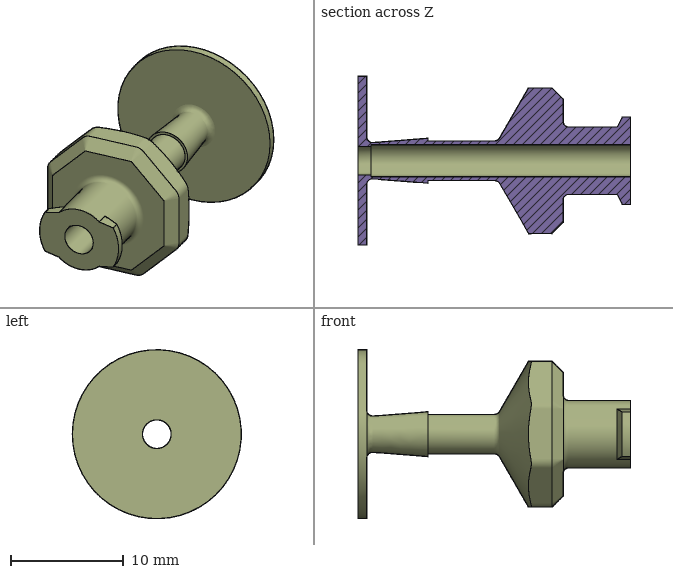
import cadquery as cq
import math

total_length = 24.2

flange_radius = 7.5
flange_thickness = 0.8
inlet_radius = 1.25
inlet_depth = 1.19
bore_radius = 1.4

barb_root_radius = 1.62
barb_tip_radius = 2.0
barb_end_x = 6.25
tube_radius = 1.77

grip_across_flats = 12.95
grip_corner_radius = 1.06
grip_chamfer = 1.0
grip_end_x = 18.22
cone_start_x = 12.41
cone_half_angle = 60.0

socket_radius = 3.0
lug_radius = 3.9
lug_length = 1.2
lug_flank_length = 0.45
lug_inner_y = 1.98
lug_outer_y = 3.36

root_fillet = 0.48
overlap = 0.25
lug_base_x = total_length - lug_length


def cylinder(radius, start_x, end_x):
    """Solid cylinder on the X axis."""
    return cq.Workplane("YZ").workplane(offset=start_x).circle(radius).extrude(end_x - start_x)


def revolve_about_x(points):
    """Turn an (x, radius) outline about the X axis."""
    return cq.Workplane("XY").polyline(points).close().revolve(360, (0, 0, 0), (1, 0, 0))


def fillet_ring(body, x):
    """Round the smallest circular edge, an inside corner, in the plane at x."""
    near = 0.002
    selector = cq.selectors.BoxSelector((x - near, -near, -near), (x + near, near, near))
    smallest = cq.selectors.RadiusNthSelector(0)
    return body.edges("%CIRCLE").edges(selector).edges(smallest).fillet(root_fillet)


def make_barb():
    barb_root_x = flange_thickness + root_fillet
    return revolve_about_x([
        (flange_thickness - overlap, 0),
        (flange_thickness - overlap, barb_root_radius),
        (barb_root_x, barb_root_radius),
        (barb_end_x, barb_tip_radius),
        (barb_end_x, 0),
    ])


def make_grip():
    corner_diameter = grip_across_flats / math.cos(math.pi / 8)
    octagon = (
        cq.Workplane("YZ").workplane(offset=cone_start_x)
        .transformed(rotate=(0, 0, 22.5))
        .polygon(8, corner_diameter)
        .extrude(grip_end_x - cone_start_x)
        .edges("|X").fillet(grip_corner_radius)
        .faces(">X").chamfer(grip_chamfer)
    )
    cone_rim_radius = corner_diameter / 2 + overlap
    cone_length = (cone_rim_radius - tube_radius) / math.tan(math.radians(cone_half_angle))
    envelope = revolve_about_x([
        (cone_start_x, 0),
        (cone_start_x, tube_radius),
        (cone_start_x + cone_length, cone_rim_radius),
        (grip_end_x, cone_rim_radius),
        (grip_end_x, 0),
    ])
    return octagon.intersect(envelope)


def make_lugs():
    """Collar with a conical flank, trimmed to two opposite lugs along Y."""
    collar = revolve_about_x([
        (lug_base_x, 0),
        (lug_base_x, socket_radius),
        (lug_base_x + lug_flank_length, lug_radius),
        (total_length, lug_radius),
        (total_length, 0),
    ])
    inner_z = math.sqrt(socket_radius**2 - lug_inner_y**2)
    outer_z = math.sqrt(lug_radius**2 - lug_outer_y**2)
    outside_y = lug_radius + overlap
    outline = [(lug_inner_y, inner_z), (lug_outer_y, outer_z), (outside_y, outer_z)]
    outline += [(y, -z) for y, z in reversed(outline)]
    lug_shape = (
        cq.Workplane("YZ").workplane(offset=lug_base_x)
        .polyline(outline).close().extrude(lug_length)
    )
    return collar.intersect(lug_shape.union(lug_shape.mirror("XZ")))


body = cylinder(flange_radius, 0, flange_thickness).union(make_barb())
body = body.union(cylinder(tube_radius, barb_end_x - overlap, cone_start_x + overlap))
body = body.union(make_grip())
body = body.union(cylinder(socket_radius, grip_end_x - overlap, total_length))

for corner_x in (flange_thickness, cone_start_x, grip_end_x):
    body = fillet_ring(body, corner_x)

body = body.union(make_lugs())
body = body.cut(cylinder(inlet_radius, 0, inlet_depth))
result = body.cut(cylinder(bore_radius, inlet_depth, total_length))